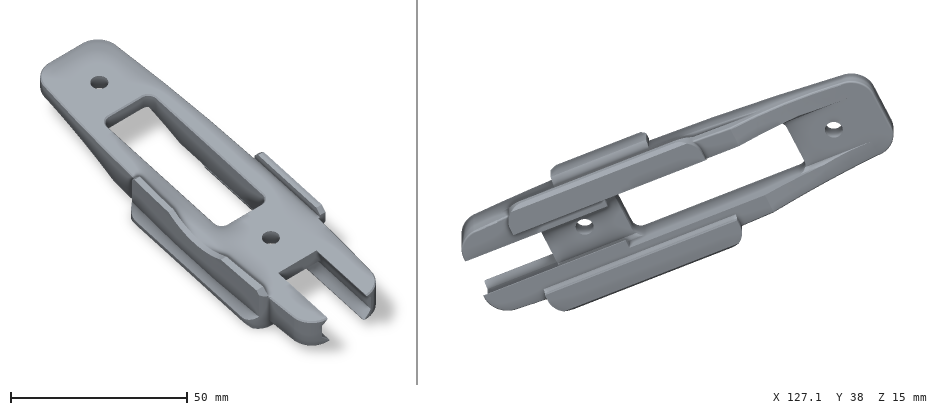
import cadquery as cq


LENGTH = 127.09
PLATE_TOP = 12.0
PLATE_BOTTOM = 2.0
TAIL_HALF_WIDTH = 13.0
TAIL_CORNER_RADIUS = 7.0
WIDEST_X = 70.0
WIDEST_HALF_WIDTH = 15.9
FORK_CORNER_X = 120.8
FORK_CORNER_HALF_WIDTH = 14.2
FORK_TIP_HALF_WIDTH = 7.0
FORK_CORNER_MID = (125.6, 11.4)
EDGE_CHAMFER = 0.4
LOWER_EDGE_RADIUS = 0.5

TAIL_UNDERSIDE = 7.0
RAMP_START_X = 7.0
RAMP_END_X = 40.6

HOLE_DIAMETER = 5.11
HOLE_CENTRES_X = (15.15, 92.65)
WINDOW_START_X = 27.0
WINDOW_END_X = 80.7
WINDOW_CORNER_RADIUS = 2.8

CHANNEL_HALF_WIDTH = 8.85
CHANNEL_ROOF_CHAMFER = 1.0
LIP_TIP_HALF_WIDTH = 6.2
LIP_TIP_HEIGHT = 0.3
LIP_TIP_Z = PLATE_BOTTOM + LIP_TIP_HEIGHT
LIP_START_X = 82.7
LIP_ROOT_Z = LIP_TIP_Z + CHANNEL_HALF_WIDTH - LIP_TIP_HALF_WIDTH
SLOT_START_X = 104.6
SLOT_TOP_HALF_WIDTH = 7.0
SLOT_EDGE_Z = PLATE_TOP - LIP_TIP_HEIGHT
SLOT_SHOULDER_Z = SLOT_EDGE_Z - (CHANNEL_HALF_WIDTH - SLOT_TOP_HALF_WIDTH)

RAIL_START_X = 50.7
RAIL_END_X = 110.5
RAIL_CORNER_RADIUS = 6.0
RAIL_INNER_CHAMFER = 0.9
RAIL_OUTER_CHAMFER = 1.05
LEFT_RAIL_INNER_Y = 9.58
LEFT_RAIL_OUTER_Y = 17.84
RIGHT_RAIL_INNER_Y = -12.1
RIGHT_RAIL_OUTER_Y = -20.2

WAIST_Y = 14.75
WAIST_LOW_Z = 5.4
WAIST_HIGH_Z = 6.5
TAB_UNDERSIDE_Z = 9.05
TAB_START_X = 65.5
TAB_END_X = 95.2
TAB_INNER_Y = 15.85
TAB_TOP = 14.55
TAB_END_CHAMFER = 1.7

WALL_TOP = 15.0
WALL_END_Y = -17.7
WALL_MIDDLE_Y = -18.25
WALL_INNER_START_Y = -15.7
WALL_INNER_MIDDLE_Y = -16.4
WALL_INNER_END_Y = -15.2
WALL_CORNER_CHAMFER = 2.3
RIGHT_RAIL_EDGE_Z = 2.5
SCOOP_START_X = 68.9
SCOOP_END_X = 92.6
SCOOP_DEPTH = 3.0

RAIL_MIDDLE_X = (RAIL_START_X + RAIL_END_X) / 2
CLEARANCE = 5.0


def prism_along_x(points, start_x, end_x):
    """Extrude a (y, z) polygon between two X positions."""
    return cq.Workplane("YZ", origin=(start_x, 0, 0)).polyline(points).close().extrude(end_x - start_x)


def block(start_x, end_x, low_y, high_y, low_z, high_z):
    size = (end_x - start_x, high_y - low_y, high_z - low_z)
    return cq.Workplane("XY", origin=(start_x, low_y, low_z)).box(*size, centered=False)


def symmetric_profile(right_half):
    """Mirror a list of (y, z) points, listed from bottom to top, about Y = 0."""
    return right_half + [(-y, z) for y, z in reversed(right_half)]


def ramp_cutter():
    """Space below the tail, bounded by an arc that leaves the tail underside tangentially."""
    run = RAMP_END_X - RAMP_START_X
    drop = TAIL_UNDERSIDE - PLATE_BOTTOM
    radius = (run**2 + drop**2) / (2 * drop)
    half_run = run / 2
    half_drop = radius - (radius**2 - half_run**2) ** 0.5
    return (
        cq.Workplane("XZ")
        .moveTo(-CLEARANCE, TAIL_UNDERSIDE)
        .lineTo(RAMP_START_X, TAIL_UNDERSIDE)
        .threePointArc((RAMP_START_X + half_run, TAIL_UNDERSIDE - half_drop), (RAMP_END_X, PLATE_BOTTOM))
        .lineTo(RAMP_END_X, -CLEARANCE)
        .lineTo(-CLEARANCE, -CLEARANCE)
        .close()
        .extrude(WIDEST_HALF_WIDTH + CLEARANCE, both=True)
    )


def plate():
    tail_flat = TAIL_HALF_WIDTH - TAIL_CORNER_RADIUS
    corner_reach = TAIL_CORNER_RADIUS * (1 - 0.5**0.5)
    corner_mid_y = TAIL_HALF_WIDTH - corner_reach
    fork_mid_x, fork_mid_y = FORK_CORNER_MID
    body = (
        cq.Workplane("XY", origin=(0, 0, PLATE_BOTTOM))
        .moveTo(0, -tail_flat)
        .lineTo(0, tail_flat)
        .threePointArc((corner_reach, corner_mid_y), (TAIL_CORNER_RADIUS, TAIL_HALF_WIDTH))
        .threePointArc((WIDEST_X, WIDEST_HALF_WIDTH), (FORK_CORNER_X, FORK_CORNER_HALF_WIDTH))
        .threePointArc((fork_mid_x, fork_mid_y), (LENGTH, FORK_TIP_HALF_WIDTH))
        .lineTo(LENGTH, -FORK_TIP_HALF_WIDTH)
        .threePointArc((fork_mid_x, -fork_mid_y), (FORK_CORNER_X, -FORK_CORNER_HALF_WIDTH))
        .threePointArc((WIDEST_X, -WIDEST_HALF_WIDTH), (TAIL_CORNER_RADIUS, -TAIL_HALF_WIDTH))
        .threePointArc((corner_reach, -corner_mid_y), (0, -tail_flat))
        .close()
        .extrude(PLATE_TOP - PLATE_BOTTOM)
    )
    body = body.cut(ramp_cutter())
    body = body.edges("not(|Z or |Y or >Z)").fillet(LOWER_EDGE_RADIUS)
    body = body.cut(window_cutter())
    return body.faces(">Z").edges("not(>X)").chamfer(EDGE_CHAMFER)


def left_side():
    """Low rail with rounded ends plus the short raised tab, before the waist is cut."""
    inner_y = LEFT_RAIL_INNER_Y - RAIL_INNER_CHAMFER
    blank = block(RAIL_START_X, RAIL_END_X, inner_y, LEFT_RAIL_OUTER_Y, 0, WAIST_LOW_Z)
    rounded = blank.edges("|Z and >Y").fillet(RAIL_CORNER_RADIUS)
    bevelled = blank.faces("<Z").edges(">Y").chamfer(RAIL_OUTER_CHAMFER)
    rail = rounded.intersect(bevelled)
    tab = block(TAB_START_X, TAB_END_X, WAIST_Y, LEFT_RAIL_OUTER_Y, WAIST_LOW_Z, TAB_TOP)
    tab = tab.faces(">Z").edges("|Y").chamfer(TAB_END_CHAMFER)
    inside_tab = block(TAB_START_X, TAB_END_X, 0, TAB_INNER_Y, PLATE_TOP, TAB_TOP)
    return rail.union(tab.cut(inside_tab))


def waist_cutter():
    """V groove along the left edge that undercuts the tab and slopes the rail top."""
    slope = (TAB_UNDERSIDE_Z - WAIST_HIGH_Z) / (LEFT_RAIL_OUTER_Y - WAIST_Y)
    outer_y = LEFT_RAIL_OUTER_Y + CLEARANCE
    reach = outer_y - WAIST_Y
    points = [
        (WAIST_Y, WAIST_LOW_Z),
        (outer_y, WAIST_LOW_Z - reach),
        (outer_y, WAIST_HIGH_Z + slope * reach),
        (WAIST_Y, WAIST_HIGH_Z),
    ]
    return prism_along_x(points, -CLEARANCE, LENGTH + CLEARANCE)


def wall_outside():
    """Material to remove outside the bowed wall, above the 45 degree slope of the rail."""
    outer_y = RIGHT_RAIL_OUTER_Y - CLEARANCE
    outside = (
        cq.Workplane("XY")
        .moveTo(RAIL_START_X, WALL_END_Y)
        .threePointArc((RAIL_MIDDLE_X, WALL_MIDDLE_Y), (RAIL_END_X, WALL_END_Y))
        .lineTo(RAIL_END_X, outer_y)
        .lineTo(RAIL_START_X, outer_y)
        .close()
        .extrude(WALL_TOP)
    )
    rise = WALL_TOP - RIGHT_RAIL_EDGE_Z
    above_slope = prism_along_x(
        [
            (outer_y, RIGHT_RAIL_EDGE_Z - CLEARANCE),
            (RIGHT_RAIL_OUTER_Y + rise, WALL_TOP),
            (outer_y, WALL_TOP),
        ],
        RAIL_START_X,
        RAIL_END_X,
    )
    return outside.intersect(above_slope)


def wall_inside():
    """Material to remove above the plate on the inner side of the bowed wall."""
    return (
        cq.Workplane("XY", origin=(0, 0, PLATE_TOP))
        .moveTo(RAIL_START_X, WALL_INNER_START_Y)
        .threePointArc((RAIL_MIDDLE_X, WALL_INNER_MIDDLE_Y), (RAIL_END_X, WALL_INNER_END_Y))
        .lineTo(RAIL_END_X, 0)
        .lineTo(RAIL_START_X, 0)
        .close()
        .extrude(WALL_TOP - PLATE_TOP)
    )


def scoop_cutter():
    """Shallow circular dip in the top edge of the wall."""
    middle_x = (SCOOP_START_X + SCOOP_END_X) / 2
    return (
        cq.Workplane("XZ")
        .moveTo(SCOOP_START_X, WALL_TOP)
        .threePointArc((middle_x, WALL_TOP - SCOOP_DEPTH), (SCOOP_END_X, WALL_TOP))
        .close()
        .extrude(-RIGHT_RAIL_OUTER_Y + CLEARANCE)
    )


def wall_envelope():
    """Full-width block with the lower outer edge and the two upper end corners bevelled."""
    envelope = block(RAIL_START_X, RAIL_END_X, RIGHT_RAIL_OUTER_Y, 0, 0, WALL_TOP)
    envelope = envelope.faces("<Z").edges("<Y").chamfer(RAIL_OUTER_CHAMFER)
    return envelope.faces(">Z").edges("|Y").chamfer(WALL_CORNER_CHAMFER)


def right_side():
    """Rail with rounded ends carrying the tall bowed wall."""
    inner_y = RIGHT_RAIL_INNER_Y + RAIL_INNER_CHAMFER
    side = block(RAIL_START_X, RAIL_END_X, RIGHT_RAIL_OUTER_Y, inner_y, 0, WALL_TOP)
    side = side.edges("|Z and <Y").fillet(RAIL_CORNER_RADIUS)
    side = side.cut(wall_outside()).cut(wall_inside())
    return side.intersect(wall_envelope()).cut(scoop_cutter())


def channel_cutter():
    """Channel below the plate: plain from the tail, then narrowed by sloped lips."""
    roof = [
        (CHANNEL_HALF_WIDTH, TAIL_UNDERSIDE - CHANNEL_ROOF_CHAMFER),
        (CHANNEL_HALF_WIDTH - CHANNEL_ROOF_CHAMFER, TAIL_UNDERSIDE),
    ]
    plain = symmetric_profile([(CHANNEL_HALF_WIDTH, PLATE_BOTTOM)] + roof)
    lipped = symmetric_profile(
        [
            (LIP_TIP_HALF_WIDTH, PLATE_BOTTOM),
            (LIP_TIP_HALF_WIDTH, LIP_TIP_Z),
            (CHANNEL_HALF_WIDTH, LIP_ROOT_Z),
        ]
        + roof
    )
    plain_part = prism_along_x(plain, -CLEARANCE, LIP_START_X)
    lipped_part = prism_along_x(lipped, LIP_START_X, SLOT_START_X)
    return plain_part.union(lipped_part)


def rail_gap_cutter():
    """Gap between the rails, with sides that lean inward just below the plate."""
    step_z = PLATE_BOTTOM - RAIL_INNER_CHAMFER
    points = [
        (RIGHT_RAIL_INNER_Y, 0),
        (RIGHT_RAIL_INNER_Y, step_z),
        (RIGHT_RAIL_INNER_Y + RAIL_INNER_CHAMFER, PLATE_BOTTOM),
        (LEFT_RAIL_INNER_Y - RAIL_INNER_CHAMFER, PLATE_BOTTOM),
        (LEFT_RAIL_INNER_Y, step_z),
        (LEFT_RAIL_INNER_Y, 0),
    ]
    return prism_along_x(points, RAIL_START_X, RAIL_END_X)


def fork_slot_cutter():
    """Slot through the fork: narrow at top and bottom, wide between."""
    profile = symmetric_profile(
        [
            (LIP_TIP_HALF_WIDTH, PLATE_BOTTOM),
            (LIP_TIP_HALF_WIDTH, LIP_TIP_Z),
            (CHANNEL_HALF_WIDTH, LIP_ROOT_Z),
            (CHANNEL_HALF_WIDTH, SLOT_SHOULDER_Z),
            (SLOT_TOP_HALF_WIDTH, SLOT_EDGE_Z),
            (SLOT_TOP_HALF_WIDTH, PLATE_TOP),
        ]
    )
    return prism_along_x(profile, SLOT_START_X, LENGTH + CLEARANCE)


def window_cutter():
    window = block(
        WINDOW_START_X, WINDOW_END_X, -CHANNEL_HALF_WIDTH, CHANNEL_HALF_WIDTH, PLATE_BOTTOM, PLATE_TOP
    )
    return window.edges("|Z").fillet(WINDOW_CORNER_RADIUS)


def holes_cutter():
    return (
        cq.Workplane("XY")
        .pushPoints([(x, 0) for x in HOLE_CENTRES_X])
        .circle(HOLE_DIAMETER / 2)
        .extrude(PLATE_TOP)
    )


result = plate().union(left_side()).union(right_side())
for cutter in (
    waist_cutter(),
    rail_gap_cutter(),
    channel_cutter(),
    fork_slot_cutter(),
    holes_cutter(),
):
    result = result.cut(cutter)